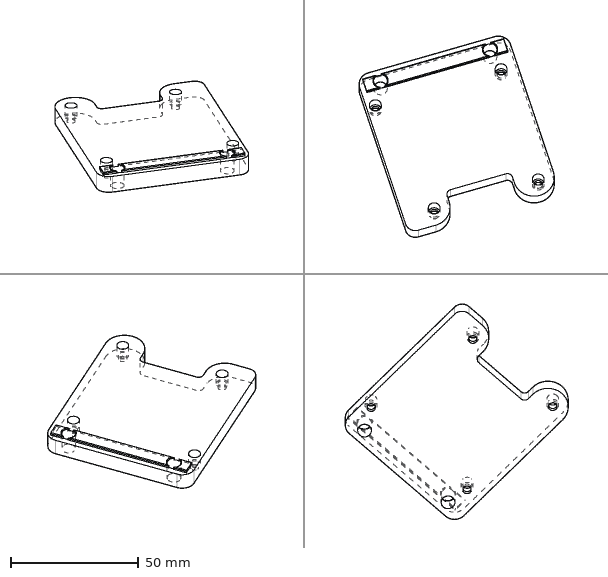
import cadquery as cq

LENGTH = 69.8
WIDTH = 62.05
THICKNESS = 7.0
RIGHT_CORNER_RADIUS = 5.0
TOP_LEFT_RADIUS = 4.0

LUG_RADIUS = 8.0
NOTCH_DEPTH = 12.7
NOTCH_TOP = 42.85
NOTCH_CORNER_RADIUS = 2.0
NOTCH_BOTTOM = 2 * LUG_RADIUS

SCREW_HOLE_DIAMETER = 3.3
COUNTERBORE_DIAMETER = 4.7
COUNTERBORE_DEPTH = 5.0
LOWER_HOLE_Y = 6.7
RIGHT_HOLE_X = 55.75
SCREW_HOLES = [
    (6.6, LOWER_HOLE_Y),
    (RIGHT_HOLE_X, LOWER_HOLE_Y),
    (RIGHT_HOLE_X, 58.4),
    (7.05, 49.35),
]

RAIL_X = 64.8
RAIL_Y = 31.0
RAIL_WIDTH = 5.7
RAIL_LENGTH = 58.0
RAIL_HEIGHT = 1.05
RAIL_EDGE_CHAMFER = 0.35
RAIL_TOP = THICKNESS + RAIL_HEIGHT

RAIL_HOLE_DIAMETER = 5.4
RAIL_HOLE_FLARE = 0.35
RAIL_HOLE_SPACING = 45.0
RAIL_GAP = 2.1


def edge_at(x, y):
    """Select the upright edge at the corner (x, y) of the plate."""
    return cq.selectors.NearestToPointSelector((x, y, THICKNESS / 2))


def make_plate():
    """Rounded plate with the notch in its left side."""
    plate = (
        cq.Workplane("XY")
        .moveTo(LUG_RADIUS, 0)
        .lineTo(LENGTH, 0)
        .lineTo(LENGTH, WIDTH)
        .lineTo(0, WIDTH)
        .lineTo(0, NOTCH_TOP)
        .lineTo(NOTCH_DEPTH, NOTCH_TOP)
        .lineTo(NOTCH_DEPTH, NOTCH_BOTTOM)
        .lineTo(LUG_RADIUS, NOTCH_BOTTOM)
        .threePointArc((0, LUG_RADIUS), (LUG_RADIUS, 0))
        .close()
        .extrude(THICKNESS)
    )
    return (
        plate.edges("|Z and >X")
        .fillet(RIGHT_CORNER_RADIUS)
        .edges(edge_at(0, WIDTH))
        .fillet(TOP_LEFT_RADIUS)
        .edges(edge_at(0, NOTCH_TOP))
        .fillet(LUG_RADIUS)
        .edges(edge_at(NOTCH_DEPTH, NOTCH_TOP))
        .fillet(NOTCH_CORNER_RADIUS)
        .edges(edge_at(NOTCH_DEPTH, NOTCH_BOTTOM))
        .fillet(NOTCH_CORNER_RADIUS)
    )


def make_rail():
    """Bar on top of the plate with its two long top edges chamfered."""
    rail = (
        cq.Workplane("XY")
        .box(RAIL_WIDTH, RAIL_LENGTH, RAIL_HEIGHT, centered=(True, True, False))
        .edges("|Y and >Z")
        .chamfer(RAIL_EDGE_CHAMFER)
    )
    return rail.translate((RAIL_X, RAIL_Y, THICKNESS))


def make_screw_holes():
    """Through bores with counterbores sunk from the top of the plate."""
    bores = cq.Workplane("XY").pushPoints(SCREW_HOLES).circle(SCREW_HOLE_DIAMETER / 2).extrude(THICKNESS)
    counterbores = (
        cq.Workplane("XY", origin=(0, 0, THICKNESS))
        .pushPoints(SCREW_HOLES)
        .circle(COUNTERBORE_DIAMETER / 2)
        .extrude(-COUNTERBORE_DEPTH)
    )
    return bores.union(counterbores)


def make_rail_hole(y):
    """Through hole that flares out at the rail's top."""
    bore_radius = RAIL_HOLE_DIAMETER / 2
    rim_radius = bore_radius + RAIL_HOLE_FLARE
    return (
        cq.Workplane("XZ")
        .moveTo(0, 0)
        .lineTo(bore_radius, 0)
        .lineTo(bore_radius, RAIL_TOP - RAIL_HOLE_FLARE)
        .lineTo(rim_radius, RAIL_TOP)
        .lineTo(0, RAIL_TOP)
        .close()
        .revolve(360, (0, 0), (0, 1))
        .translate((RAIL_X, y, 0))
    )


def make_rail_gap(y):
    """Gap that opens the thin sides of the rail beside a large hole."""
    gap = cq.Workplane("XY").box(RAIL_WIDTH, RAIL_GAP, RAIL_HEIGHT, centered=(True, True, False))
    return gap.translate((RAIL_X, y, THICKNESS))


result = make_plate().union(make_rail()).cut(make_screw_holes())
for side in (-1, 1):
    hole_y = RAIL_Y + side * RAIL_HOLE_SPACING / 2
    result = result.cut(make_rail_hole(hole_y)).cut(make_rail_gap(hole_y))